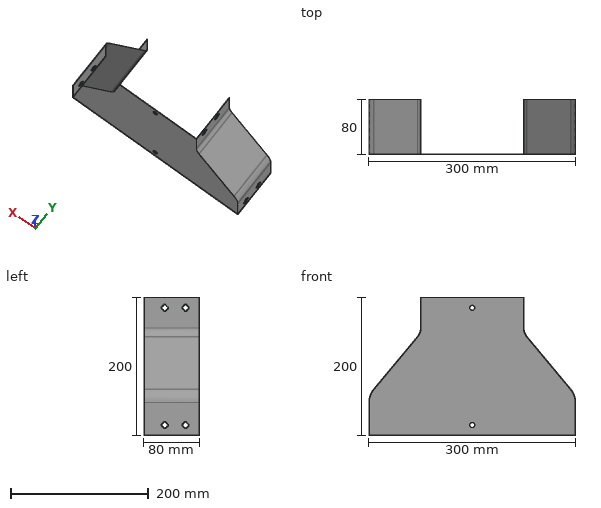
import cadquery as cq
import math

base_width = 300.0
neck_width = 150.0
height = 200.0
depth = 80.0
sheet = 0.8

flank_rise = 90.0
lower_corner_z = 58.65
lower_bend_radius = 30.0
upper_bend_radius = 20.0

hole_diameter = 7.0
hole_edge_distance = 15.0
slot_length = 9.0
slot_width = hole_diameter
slot_corner_radius = 1.0
slot_tilt = 45.0
slot_columns = (20.0, 50.0)

hole_levels = (hole_edge_distance, height - hole_edge_distance)
flank_run = (base_width - neck_width) / 2
flank_angle = math.atan2(flank_run, flank_rise)
upper_corner_z = lower_corner_z + flank_rise


def outline_prism(inset):
    """Solid funnel outline over the full depth, with its sides moved inwards by inset."""
    corner_drop = inset * math.tan(flank_angle / 2)
    base_x = base_width / 2 - inset
    neck_x = neck_width / 2 - inset
    lower_z = lower_corner_z - corner_drop
    upper_z = upper_corner_z - corner_drop
    prism = (
        cq.Workplane("XZ")
        .polyline(
            [
                (-base_x, 0),
                (base_x, 0),
                (base_x, lower_z),
                (neck_x, upper_z),
                (neck_x, height),
                (-neck_x, height),
                (-neck_x, upper_z),
                (-base_x, lower_z),
            ]
        )
        .close()
        .extrude(-depth)
    )
    bends = (
        (base_x, lower_z, lower_bend_radius - inset),
        (neck_x, upper_z, upper_bend_radius + inset),
    )
    for corner_x, corner_z, radius in bends:
        for side in (-1, 1):
            corner = cq.selectors.NearestToPointSelector((side * corner_x, depth / 2, corner_z))
            prism = prism.edges("|Y").edges(corner).fillet(radius)
    return prism


def folded_sheet():
    """Front plate with a wall along each side, open at the back, top and bottom."""
    cavity = outline_prism(sheet).translate((0, sheet, 0))
    return outline_prism(0).cut(cavity)


def plate_holes():
    """Round holes on the centre line of the front plate."""
    return (
        cq.Workplane("XZ")
        .pushPoints([(0, z) for z in hole_levels])
        .circle(hole_diameter / 2)
        .extrude(-sheet)
    )


def wall_slots(side):
    """Tilted slots through one wall; the two walls tilt opposite ways."""
    slot_outline = (
        cq.Sketch()
        .rect(slot_length, slot_width)
        .vertices()
        .fillet(slot_corner_radius)
    )
    normal = cq.Vector(0, 0, 1)
    slots = [
        slot_outline.moved(cq.Location(cq.Vector(y, z), normal, -side * slot_tilt))
        for y in slot_columns
        for z in hole_levels
    ]
    return (
        cq.Workplane("YZ")
        .placeSketch(*slots)
        .extrude(side * base_width / 2)
    )


result = folded_sheet().cut(plate_holes())
for wall_side in (-1, 1):
    result = result.cut(wall_slots(wall_side))